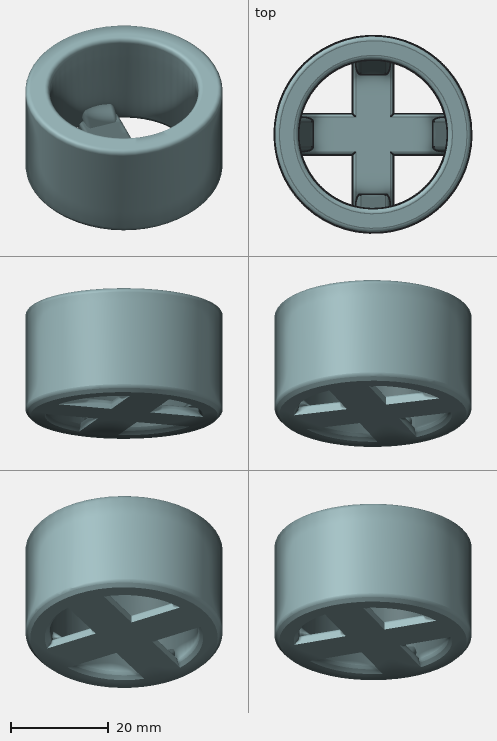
import cadquery as cq
import math

outer_diameter = 40.5
bore_diameter = 30.5
height = 22.0
edge_round = 1.0
foot_chamfer = 1.0

arm_count = 4
arm_width = 8.5
arm_thickness = 2.0
arm_edge_round = 0.7

wedge_width = arm_width - 2 * arm_edge_round
wedge_toe_radius = 12.27
wedge_slope = 45.0
wedge_edge_round = 1.0

outer_radius = outer_diameter / 2
bore_radius = bore_diameter / 2
wall_middle_radius = (outer_radius + bore_radius) / 2


def make_ring():
    """Tube with rounded top rims and softened chamfers on both bottom rims."""
    ring = cq.Workplane("XY").circle(outer_radius).circle(bore_radius).extrude(height)
    ring = ring.faces(">Z").edges().fillet(edge_round)
    ring = ring.faces("<Z").edges().chamfer(foot_chamfer)
    chamfer_top = cq.selectors.BoxSelector(
        (-outer_radius, -outer_radius, foot_chamfer / 2),
        (outer_radius, outer_radius, foot_chamfer * 3 / 2),
    )
    return ring.edges("%CIRCLE").edges(chamfer_top).fillet(edge_round)


def make_cross():
    """Two crossing bars with rounded upper edges, ending inside the ring wall."""
    bar_length = 2 * wall_middle_radius
    on_floor = (True, True, False)
    cross = cq.Workplane("XY").box(bar_length, arm_width, arm_thickness, centered=on_floor)
    cross = cross.union(cq.Workplane("XY").box(arm_width, bar_length, arm_thickness, centered=on_floor))
    return cross.faces(">Z").edges().fillet(arm_edge_round)


def make_wedge():
    """Ramp rising outward along +X, with its two long sloping edges rounded."""
    run = wall_middle_radius - wedge_toe_radius
    rise = run * math.tan(math.radians(wedge_slope))
    profile = [
        (wedge_toe_radius, arm_thickness),
        (wall_middle_radius, arm_thickness + rise),
        (wall_middle_radius, arm_thickness),
    ]
    wedge = cq.Workplane("XZ").polyline(profile).close().extrude(wedge_width / 2, both=True)
    slope_sides = wedge.faces("<X").edges("not |Y")
    return slope_sides.fillet(wedge_edge_round)


result = make_ring().union(make_cross())

wedge = make_wedge()
for quarter in range(arm_count):
    result = result.union(wedge.rotate((0, 0, 0), (0, 0, 1), quarter * 360 / arm_count))